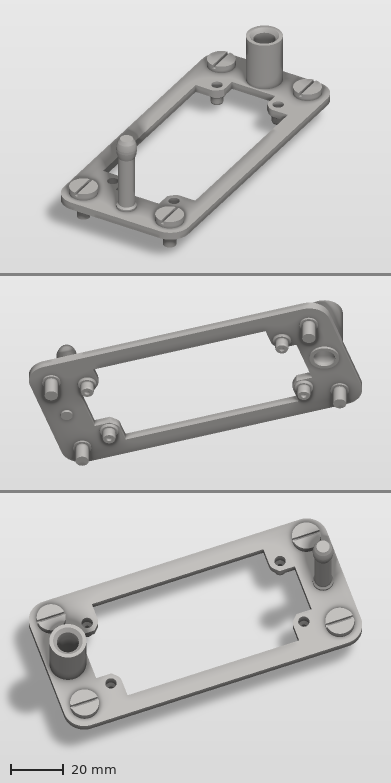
import cadquery as cq

PLATE_X = 55.0
PLATE_Y = 119.5
PLATE_THICKNESS = 3.1
PLATE_CORNER_RADIUS = 8.0

WINDOW_X = 40.6
WINDOW_Y = 69.1
NOTCH_X = 19.1
NOTCH_END_Y = 43.4
LUG_CHAMFER = 2.7
LUG_FILLET_RADIUS = 3.2

FASTENER_Y = 51.4
SCREW_X = 19.0
SCREW_HEAD_RADIUS = 5.5
SCREW_HEAD_HEIGHT = 2.9
SCREW_SHANK_RADIUS = 2.5
SCREW_TIP_Z = -7.5
SLOT_WIDTH = 1.2
SLOT_DEPTH = 1.4
WASHER_RADIUS = 3.5
WASHER_THICKNESS = 0.7

INSERT_X = 13.5
INSERT_Y = 38.8
INSERT_FLANGE_RADIUS = 3.6
INSERT_FLANGE_RIM = 0.6
INSERT_FLANGE_THICKNESS = 1.1
INSERT_FLANGE_CHAMFER = 0.4
INSERT_BODY_RADIUS = 2.5
INSERT_TIP_RADIUS = 2.3
INSERT_SHOULDER_Z = -4.0
INSERT_TIP_Z = -4.7
INSERT_BORE_RADIUS = 2.2
INSERT_PILOT_RADIUS = 1.1
INSERT_BORE_DEPTH = 3.7

RIVET_Z = -1.0
BUSHING_RADIUS = 7.0
BUSHING_TOP_Z = 22.8
BUSHING_RIVET_RADIUS = 5.6
BUSHING_BORE_RADIUS = 4.2
BUSHING_LEAD_IN = 1.4

PIN_RIVET_RADIUS = 2.3
PIN_COLLAR_RADIUS = 4.0
PIN_COLLAR_HEIGHT = 1.0
PIN_SHAFT_RADIUS = 3.2
PIN_COLLAR_CHAMFER = PIN_COLLAR_RADIUS - PIN_SHAFT_RADIUS
PIN_HEAD_RADIUS = 4.0
PIN_NOSE_RADIUS = 3.3
PIN_TIP_RADIUS = 2.5
PIN_HEAD_BOTTOM_Z = 25.7
PIN_BAND_BOTTOM_Z = 28.9
PIN_BAND_TOP_Z = 30.0
PIN_NOSE_Z = 32.5
PIN_TIP_Z = 33.9


def turned(radii_and_heights):
    """Solid of revolution about Z from (radius, z) points listed upwards."""
    bottom = (0, radii_and_heights[0][1])
    top = (0, radii_and_heights[-1][1])
    outline = [bottom, *radii_and_heights, top]
    return cq.Workplane("XZ").polyline(outline).close().revolve(360, (0, 0), (0, 1))


def bulge_radius(height, width):
    """Radius of an arc that rises by height, drifts by width and ends vertical."""
    return (height**2 + width**2) / (2 * width)


def make_plate():
    plate = (
        cq.Workplane("XY")
        .rect(PLATE_X, PLATE_Y)
        .extrude(PLATE_THICKNESS)
        .edges("|Z")
        .fillet(PLATE_CORNER_RADIUS)
    )
    window = cq.Workplane("XY").rect(WINDOW_X, WINDOW_Y).extrude(PLATE_THICKNESS)
    notches = cq.Workplane("XY").rect(NOTCH_X, 2 * NOTCH_END_Y).extrude(PLATE_THICKNESS)
    plate = plate.cut(window).cut(notches)

    lug_x = NOTCH_X / 2
    lug_y = WINDOW_Y / 2
    for x_side in (-1, 1):
        for y_side in (-1, 1):
            plate = plate.edges(cq.selectors.NearestToPointSelector(
                (x_side * lug_x, y_side * lug_y, PLATE_THICKNESS / 2)
            )).chamfer(LUG_CHAMFER)
            plate = plate.edges(cq.selectors.NearestToPointSelector(
                (x_side * (lug_x + LUG_CHAMFER), y_side * lug_y, PLATE_THICKNESS / 2)
            )).fillet(LUG_FILLET_RADIUS)
    return plate


def make_screw():
    head_top_z = PLATE_THICKNESS + SCREW_HEAD_HEIGHT
    screw = turned([
        (SCREW_SHANK_RADIUS, SCREW_TIP_Z),
        (SCREW_SHANK_RADIUS, -WASHER_THICKNESS),
        (WASHER_RADIUS, -WASHER_THICKNESS),
        (WASHER_RADIUS, 0),
        (SCREW_SHANK_RADIUS, 0),
        (SCREW_SHANK_RADIUS, PLATE_THICKNESS),
        (SCREW_HEAD_RADIUS, PLATE_THICKNESS),
        (SCREW_HEAD_RADIUS, head_top_z),
    ])
    slot = (
        cq.Workplane("XY", origin=(0, 0, head_top_z))
        .rect(SLOT_WIDTH, 2 * SCREW_HEAD_RADIUS)
        .extrude(-SLOT_DEPTH)
    )
    return screw.cut(slot)


def make_insert():
    return turned([
        (INSERT_TIP_RADIUS, INSERT_TIP_Z),
        (INSERT_BODY_RADIUS, INSERT_SHOULDER_Z),
        (INSERT_BODY_RADIUS, -INSERT_FLANGE_THICKNESS),
        (INSERT_FLANGE_RADIUS - INSERT_FLANGE_CHAMFER, -INSERT_FLANGE_THICKNESS),
        (INSERT_FLANGE_RADIUS, -INSERT_FLANGE_RIM),
        (INSERT_FLANGE_RADIUS, 0),
    ])


def make_insert_bore():
    """Bore from the plate top, closing through a 45 degree cone to a pilot hole."""
    bore_bottom_z = PLATE_THICKNESS - INSERT_BORE_DEPTH
    cone_bottom_z = bore_bottom_z - (INSERT_BORE_RADIUS - INSERT_PILOT_RADIUS)
    return turned([
        (INSERT_PILOT_RADIUS, INSERT_TIP_Z),
        (INSERT_PILOT_RADIUS, cone_bottom_z),
        (INSERT_BORE_RADIUS, bore_bottom_z),
        (INSERT_BORE_RADIUS, PLATE_THICKNESS),
    ])


def make_bushing():
    return turned([
        (BUSHING_RIVET_RADIUS, RIVET_Z),
        (BUSHING_RIVET_RADIUS, PLATE_THICKNESS),
        (BUSHING_RADIUS, PLATE_THICKNESS),
        (BUSHING_RADIUS, BUSHING_TOP_Z),
    ])


def make_bushing_bore():
    return turned([
        (BUSHING_BORE_RADIUS, RIVET_Z),
        (BUSHING_BORE_RADIUS, BUSHING_TOP_Z - BUSHING_LEAD_IN),
        (BUSHING_BORE_RADIUS + BUSHING_LEAD_IN, BUSHING_TOP_Z),
    ])


def make_pin():
    collar_top_z = PLATE_THICKNESS + PIN_COLLAR_HEIGHT
    lower_bulge = bulge_radius(
        PIN_BAND_BOTTOM_Z - PIN_HEAD_BOTTOM_Z, PIN_HEAD_RADIUS - PIN_SHAFT_RADIUS
    )
    upper_bulge = bulge_radius(
        PIN_NOSE_Z - PIN_BAND_TOP_Z, PIN_HEAD_RADIUS - PIN_NOSE_RADIUS
    )
    profile = (
        cq.Workplane("XZ")
        .moveTo(0, RIVET_Z)
        .lineTo(PIN_RIVET_RADIUS, RIVET_Z)
        .lineTo(PIN_RIVET_RADIUS, PLATE_THICKNESS)
        .lineTo(PIN_COLLAR_RADIUS, PLATE_THICKNESS)
        .lineTo(PIN_COLLAR_RADIUS, collar_top_z)
        .lineTo(PIN_SHAFT_RADIUS, collar_top_z + PIN_COLLAR_CHAMFER)
        .lineTo(PIN_SHAFT_RADIUS, PIN_HEAD_BOTTOM_Z)
        .radiusArc((PIN_HEAD_RADIUS, PIN_BAND_BOTTOM_Z), -lower_bulge)
        .lineTo(PIN_HEAD_RADIUS, PIN_BAND_TOP_Z)
        .radiusArc((PIN_NOSE_RADIUS, PIN_NOSE_Z), -upper_bulge)
        .lineTo(PIN_TIP_RADIUS, PIN_TIP_Z)
        .lineTo(0, PIN_TIP_Z)
        .close()
    )
    return profile.revolve(360, (0, 0), (0, 1))


result = make_plate()

for x_side in (-1, 1):
    for y_side in (-1, 1):
        screw_place = (x_side * SCREW_X, y_side * FASTENER_Y, 0)
        insert_place = (x_side * INSERT_X, y_side * INSERT_Y, 0)
        result = result.union(make_screw().translate(screw_place))
        result = result.union(make_insert().translate(insert_place))
        result = result.cut(make_insert_bore().translate(insert_place))

bushing_place = (0, FASTENER_Y, 0)
result = result.union(make_bushing().translate(bushing_place))
result = result.cut(make_bushing_bore().translate(bushing_place))
result = result.union(make_pin().translate((0, -FASTENER_Y, 0)))